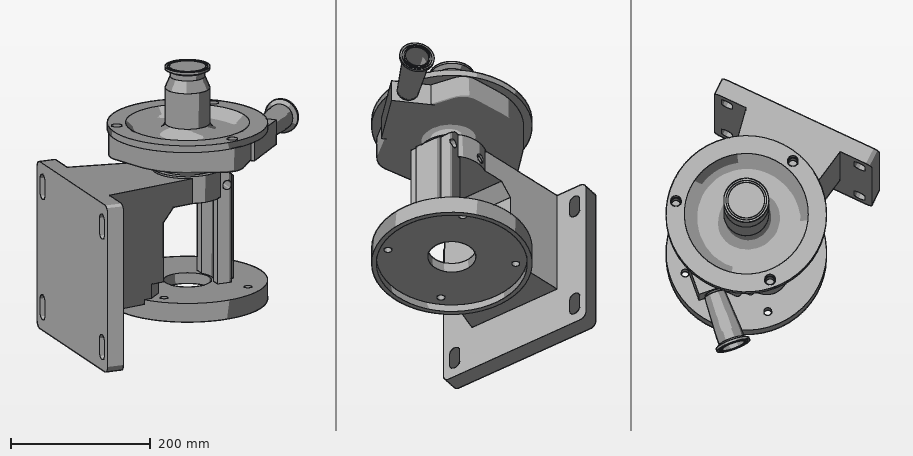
import cadquery as cq
import math


total_height = 403.0
plate_size = 250.0
plate_thickness = 25.0
plate_back = -180.0
plate_front = plate_back + plate_thickness
plate_corner_radius = 10.0
slot_length = 37.0
slot_width = 17.5
slot_x = 105.0
slot_heights = (34.5, 215.0)

motor_flange_bottom = 55.0
motor_flange_thickness = 28.2
motor_flange_top = motor_flange_bottom + motor_flange_thickness
motor_flange_radius = 115.0
pilot_radius = 108.0
pilot_depth = 12.0
motor_bore_radius = 34.3
motor_bolt_circle_radius = 92.5
motor_bolt_hole_radius = 5.5
motor_bolt_count = 4
motor_bolt_first_angle = 45

hub_radius = 50.5
hub_bottom = 212.5
hub_top = plate_size + 3.0
hub_hole_radius = 7.3
hub_hole_height = 225.3
spigot_radius = 37.5

web_root_half_width = 74.5
web_draft = math.radians(10.4)
web_bottom = 76.0
web_inner_y = -63.3
web_corner_chamfer_y = 17.5
web_corner_chamfer_z = 20.0
web_notch = 20.0
web_notch_top = motor_flange_top + 21.0

column_half_width = 36.0
column_front = 31.0
column_back = 55.0
column_edge_radius = 5.5
column_channel_radius = 37.5
rib_half_width = 20.0
rib_back = 65.0
rib_edge_radius = 6.0
column_chamfer_y = 21.5
column_chamfer_z = 17.5
column_hole_radius = 7.0
column_hole_y = 46.5
column_hole_height = 229.5

neck_radius = 42.0
neck_flare_radius = 10.0
casing_bottom = 272.0
casing_radius = 97.0
casing_wide_radius = 102.8
casing_edge_radius = 3.0
cover_bottom = 308.5
lobe_angles = (15, 135, 255)
lobe_tip_distance = 119.3
lobe_tip_radius = 29.5

outlet_direction = 135
outlet_face_u = 87.0
outlet_block_v = 102.5
outlet_axis_v = 79.5
outlet_height = 289.0
outlet_end_u = 170.0
diffuser_end_u = 149.0
bore_taper_end_u = 154.5
outlet_neck_radius = 13.7
outlet_neck_length = 3.0
outlet_base_radius = 15.5
outlet_radius = 19.0
outlet_wall = 2.0
outlet_rim_radius = 25.0

cover_top = 318.8
cover_radius = 115.0
dish_rim_radius = 88.5
dish_wall_radius = 77.8
dish_floor_radius = 67.5
dish_wall_angle = math.radians(43)
dish_neck_radius = 51.5
dish_root_fillet = 20.5
screw_circle_radius = 102.5
screw_hole_radius = 7.5
screw_thread_radius = 6.5
screw_depth = 24.0
inlet_radius = 32.2
inlet_taper_bottom = 371.0
inlet_taper_top = 388.0
inlet_throat_radius = 25.0

ferrule_rim = 3.5
ferrule_taper = 3.5
ferrule_groove_inset = 3.2
ferrule_groove_width = 3.0
ferrule_groove_depth = 1.5


def cylinder(radius, bottom, top):
    return cq.Workplane("XY", origin=(0, 0, bottom)).circle(radius).extrude(top - bottom)


def polar(radius, degrees):
    angle = math.radians(degrees)
    return (radius * math.cos(angle), radius * math.sin(angle))


def ferrule_groove(rim_radius, end):
    """Shallow gasket groove cut into an end face at height `end`."""
    outer = rim_radius - ferrule_groove_inset
    inner = outer - ferrule_groove_width
    bottom = end - ferrule_groove_depth
    return cylinder(outer, bottom, end).cut(cylinder(inner, bottom, end))


def mounting_plate():
    plate = (
        cq.Workplane("XY")
        .box(plate_size, plate_thickness, plate_size, centered=(True, False, False))
        .translate((0, plate_back, 0))
        .edges("|Y")
        .fillet(plate_corner_radius)
    )
    slot_centres = [(x, z) for x in (-slot_x, slot_x) for z in slot_heights]
    slots = (
        cq.Workplane("XZ", origin=(0, plate_front, 0))
        .pushPoints(slot_centres)
        .slot2D(slot_length, slot_width, 90)
        .extrude(plate_thickness)
    )
    return plate.cut(slots)


def motor_flange():
    flange = cylinder(motor_flange_radius, motor_flange_bottom, motor_flange_top)
    pilot = cylinder(pilot_radius, motor_flange_bottom, motor_flange_bottom + pilot_depth)
    bore = cylinder(motor_bore_radius, motor_flange_bottom, motor_flange_top)
    bolt_holes = (
        cq.Workplane("XY", origin=(0, 0, motor_flange_bottom))
        .polarArray(motor_bolt_circle_radius, motor_bolt_first_angle, 360, motor_bolt_count)
        .circle(motor_bolt_hole_radius)
        .extrude(motor_flange_thickness)
    )
    return flange.cut(pilot).cut(bore).cut(bolt_holes)


def web_half_width(y):
    return web_root_half_width - (y - plate_front) * math.tan(web_draft)


def web():
    tip_half_width = web_half_width(0)
    wedge = (
        cq.Workplane("XY", origin=(0, 0, web_bottom))
        .polyline([
            (-web_root_half_width, plate_front),
            (web_root_half_width, plate_front),
            (tip_half_width, 0),
            (-tip_half_width, 0),
        ])
        .close()
        .extrude(plate_size - web_bottom)
    )
    window = (
        cq.Workplane("YZ", origin=(-plate_size / 2, 0, 0))
        .polyline([
            (web_inner_y, web_bottom),
            (web_inner_y, hub_bottom - web_corner_chamfer_z),
            (web_inner_y + web_corner_chamfer_y, hub_bottom),
            (0, hub_bottom),
            (0, web_bottom),
        ])
        .close()
        .extrude(plate_size)
    )
    notch_back = web_inner_y - web_notch
    notch_x = web_half_width(notch_back)
    notch = (
        cq.Workplane("XY", origin=(0, 0, motor_flange_top))
        .polyline([
            (notch_x, notch_back),
            (notch_x, web_inner_y),
            (notch_x - web_notch, web_inner_y),
        ])
        .close()
        .extrude(web_notch_top - motor_flange_top)
    )
    return wedge.cut(window).cut(notch).cut(notch.mirror("YZ"))


def hub_with_column():
    height = hub_top - motor_flange_top
    column = (
        cq.Workplane("XY", origin=(0, 0, motor_flange_top))
        .rect(2 * column_half_width, 2 * column_back)
        .extrude(height)
        .edges("|Z")
        .fillet(column_edge_radius)
    )
    rib = (
        cq.Workplane("XY", origin=(0, 0, motor_flange_top))
        .rect(2 * rib_half_width, 2 * rib_back)
        .extrude(height)
        .edges("|Z")
        .fillet(rib_edge_radius)
    )
    front_half = (
        cq.Workplane("XY", origin=(0, column_front - plate_size / 2, motor_flange_top))
        .rect(plate_size, plate_size)
        .extrude(height)
    )
    channel = cylinder(column_channel_radius, motor_flange_top, hub_top)
    top_chamfer = (
        cq.Workplane("YZ", origin=(-plate_size / 2, 0, 0))
        .polyline([
            (rib_back - column_chamfer_y, hub_top),
            (rib_back, hub_top),
            (rib_back, hub_top - column_chamfer_z),
        ])
        .close()
        .extrude(plate_size)
    )
    column = column.union(rib).cut(front_half).cut(channel).cut(top_chamfer)

    column_hole = (
        cq.Workplane("YZ", origin=(-plate_size / 2, column_hole_y, column_hole_height))
        .circle(column_hole_radius)
        .extrude(plate_size)
    )
    hub = cylinder(hub_radius, hub_bottom, hub_top)
    hub_hole = (
        cq.Workplane("YZ", origin=(-hub_radius, 0, hub_hole_height))
        .circle(hub_hole_radius)
        .extrude(hub_radius)
        .cut(cylinder(spigot_radius, hub_bottom, hub_top))
    )
    return hub.union(column).cut(column_hole).cut(hub_hole)


def neck():
    flare_bottom = casing_bottom - neck_flare_radius
    flare_middle = neck_flare_radius * (1 - math.sqrt(0.5))
    return (
        cq.Workplane("XZ")
        .moveTo(0, hub_top)
        .lineTo(neck_radius, hub_top)
        .lineTo(neck_radius, flare_bottom)
        .threePointArc(
            (neck_radius + flare_middle, casing_bottom - flare_middle),
            (neck_radius + neck_flare_radius, casing_bottom),
        )
        .lineTo(0, casing_bottom)
        .close()
        .revolve(360, (0, 0, 0), (0, 1, 0))
    )


def tangent_angle(radius):
    """Angle between a lobe axis and the point where its flat leaves the casing."""
    return math.degrees(math.acos(radius / lobe_tip_distance))


def casing_lobe(angle, radius_before, radius_after):
    """Two flats tangent to the casing on either side, meeting at a rounded tip at `angle`."""
    return (
        cq.Workplane("XY", origin=(0, 0, casing_bottom))
        .polyline([
            (0, 0),
            polar(radius_before, -tangent_angle(radius_before)),
            (lobe_tip_distance, 0),
            polar(radius_after, tangent_angle(radius_after)),
        ])
        .close()
        .extrude(cover_bottom - casing_bottom)
        .edges("|Z and >X")
        .fillet(lobe_tip_radius)
        .rotate((0, 0, 0), (0, 0, 1), angle)
    )


def casing():
    right_lobe, outlet_lobe, lower_lobe = lobe_angles
    body = cylinder(casing_radius, casing_bottom, cover_bottom)
    body = body.union(casing_lobe(right_lobe, casing_radius, casing_radius))
    body = body.union(casing_lobe(outlet_lobe, casing_radius, casing_wide_radius))
    body = body.union(casing_lobe(lower_lobe, casing_wide_radius, casing_radius))
    wide_start = outlet_lobe + tangent_angle(casing_wide_radius)
    wide_end = lower_lobe - tangent_angle(casing_wide_radius)
    bulge = (
        cq.Workplane("XY", origin=(0, 0, casing_bottom))
        .lineTo(*polar(casing_wide_radius, wide_start))
        .threePointArc(
            polar(casing_wide_radius, (wide_start + wide_end) / 2),
            polar(casing_wide_radius, wide_end),
        )
        .close()
        .extrude(cover_bottom - casing_bottom)
    )
    body = body.union(bulge)
    body = body.faces("<Z").edges().fillet(casing_edge_radius)
    block = (
        cq.Workplane("XY", origin=(0, -outlet_block_v, casing_bottom))
        .rect(outlet_face_u, outlet_block_v, centered=False)
        .extrude(cover_bottom - casing_bottom)
        .rotate((0, 0, 0), (0, 0, 1), outlet_direction)
    )
    return body.union(block)


def place_outlet(pipe):
    """Move a pipe built along Z, with Z as the distance U, onto the outlet axis."""
    return (
        pipe.rotate((0, 0, 0), (0, 1, 0), 90)
        .translate((0, -outlet_axis_v, outlet_height))
        .rotate((0, 0, 0), (0, 0, 1), outlet_direction)
    )


def outlet_pipe():
    diffuser_start_u = outlet_face_u + outlet_neck_length
    rim_start = outlet_end_u - ferrule_rim
    pipe = (
        cq.Workplane("XZ")
        .polyline([
            (0, outlet_face_u - outlet_base_radius),
            (outlet_neck_radius, outlet_face_u - outlet_base_radius),
            (outlet_neck_radius, diffuser_start_u),
            (outlet_base_radius, diffuser_start_u),
            (outlet_radius, diffuser_end_u),
            (outlet_radius, rim_start - ferrule_taper),
            (outlet_rim_radius, rim_start),
            (outlet_rim_radius, outlet_end_u),
            (0, outlet_end_u),
        ])
        .close()
        .revolve(360, (0, 0, 0), (0, 1, 0))
    )
    return place_outlet(pipe.cut(ferrule_groove(outlet_rim_radius, outlet_end_u)))


def outlet_bore():
    bore = (
        cq.Workplane("XZ")
        .polyline([
            (0, outlet_face_u),
            (outlet_neck_radius - outlet_wall, outlet_face_u),
            (outlet_radius - outlet_wall, bore_taper_end_u),
            (outlet_radius - outlet_wall, outlet_end_u),
            (0, outlet_end_u),
        ])
        .close()
        .revolve(360, (0, 0, 0), (0, 1, 0))
    )
    return place_outlet(bore)


def cover_with_inlet():
    """Dished cover and inlet pipe in one piece, and the open space of the dish around the pipe."""
    wall_bottom = cover_top - (dish_rim_radius - dish_wall_radius) * math.tan(dish_wall_angle)
    floor_fillet = (dish_wall_radius - dish_floor_radius) / math.sin(dish_wall_angle)
    floor = wall_bottom - floor_fillet * (1 - math.cos(dish_wall_angle))
    fillet_middle = (
        dish_floor_radius + floor_fillet * math.sin(dish_wall_angle / 2),
        floor + floor_fillet * (1 - math.cos(dish_wall_angle / 2)),
    )
    root_angle = math.asin((dish_neck_radius - inlet_radius) / dish_root_fillet)
    root_middle = (
        dish_neck_radius - dish_root_fillet * math.sin(root_angle / 2),
        floor + dish_root_fillet * (1 - math.cos(root_angle / 2)),
    )
    root_top = floor + dish_root_fillet * (1 - math.cos(root_angle))
    rim_bottom = total_height - ferrule_rim
    body = (
        cq.Workplane("XZ")
        .moveTo(0, casing_bottom + casing_edge_radius)
        .lineTo(dish_rim_radius, casing_bottom + casing_edge_radius)
        .lineTo(dish_rim_radius, cover_bottom)
        .lineTo(cover_radius, cover_bottom)
        .lineTo(cover_radius, cover_top)
        .lineTo(dish_rim_radius, cover_top)
        .lineTo(dish_wall_radius, wall_bottom)
        .threePointArc(fillet_middle, (dish_floor_radius, floor))
        .lineTo(dish_neck_radius, floor)
        .threePointArc(root_middle, (inlet_radius, root_top))
        .lineTo(inlet_radius, inlet_taper_bottom)
        .lineTo(inlet_throat_radius, inlet_taper_top)
        .lineTo(inlet_throat_radius, rim_bottom - ferrule_taper)
        .lineTo(inlet_radius, rim_bottom)
        .lineTo(inlet_radius, total_height)
        .lineTo(0, total_height)
        .close()
        .revolve(360, (0, 0, 0), (0, 1, 0))
    )
    dish = cylinder(dish_rim_radius, floor, cover_top).cut(body)
    return body.cut(ferrule_groove(inlet_radius, total_height)), dish


def screw_holes():
    holes = cq.Workplane("XY")
    for angle in lobe_angles:
        x, y = polar(screw_circle_radius, angle)
        clearance = cylinder(screw_hole_radius, cover_bottom, cover_top)
        thread = cylinder(screw_thread_radius, cover_top - screw_depth, cover_top)
        holes = holes.add(clearance.union(thread).translate((x, y, 0)))
    return holes.combine()


bracket = mounting_plate().union(motor_flange()).union(web()).union(hub_with_column())
cover, dish = cover_with_inlet()
pump = neck().union(casing()).cut(dish).union(cover).cut(screw_holes())
pump = pump.union(outlet_pipe()).cut(outlet_bore())
result = bracket.union(pump)